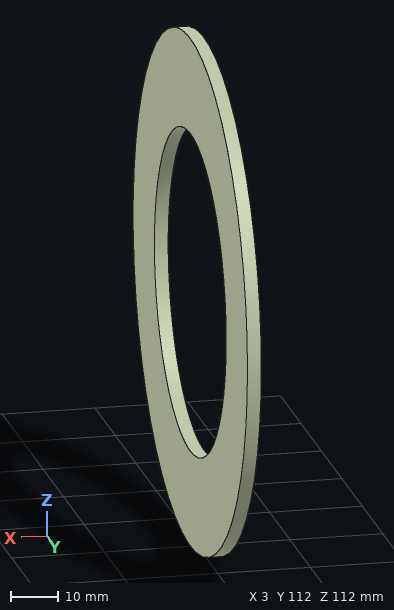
import cadquery as cq

outer_diameter = 112.0
hole_diameter = 70.0
thickness = 3.0

result = (
    cq.Workplane("YZ")
    .circle(outer_diameter / 2)
    .circle(hole_diameter / 2)
    .extrude(thickness)
)